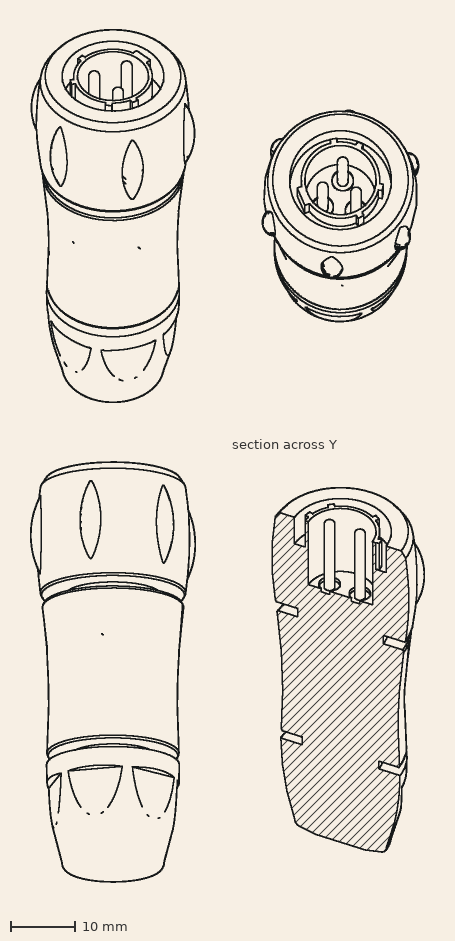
import cadquery as cq
import math

NUT_FACE_Z = 0.6
NUT_ROUND_Z = 1.85
NUT_TOP_Z = 17.5
BODY_BOTTOM_Z = 19.0
BODY_WAIST_Z = 27.35
BODY_TOP_Z = 43.35
RING_BOTTOM_Z = 44.95
RING_TOP_Z = 63.4
TOTAL_HEIGHT = 64.2
BEVEL_HEIGHT = 0.4
BEVEL_WIDTH = 0.2

NUT_END_RADIUS = 4.3
NUT_FACE_RADIUS = 6.8
NUT_ROUND_RADIUS = 7.95
NUT_TOP_RADIUS = 10.35
FLAT_DISTANCE = 9.25
FLAT_TOP_Z = 14.4
FLAT_LEDGE_RISE = 0.25
LOWER_NECK_RADIUS = 6.7

BODY_WAIST_RADIUS = 10.0
BODY_TOP_RADIUS = 11.0
UPPER_NECK_RADIUS = 7.45
DIMPLE_Z = 31.6
DIMPLE_HEIGHT = 9.75
DIMPLE_DEPTH = 0.25
DIMPLE_RIM_ROUND = 2.25

RING_EDGE_RADIUS = 11.3
RING_MIDDLE_RADIUS = 23.8 / 2
RING_FACE_RADIUS = 10.5
RING_CHAMFER_HEIGHT = 1.2
BUMP_Z = 53.9
BUMP_AXIS_RADIUS = 11.3
BUMP_TIP_RADIUS = 26.1 / 2
BUMP_HALF_LENGTH = 6.8

SLEEVE_HEIGHT = 5.4
SOCKET_DEPTH = 12.85
SOCKET_RADIUS = 7.9
SLEEVE_OUTER_RADIUS = 6.1
SLEEVE_INNER_RADIUS = 5.5
KEY_RADIUS = 6.7
WIDE_KEY_WIDTH = 3.0
WIDE_KEY_ANGLE = 90.0
NARROW_KEY_WIDTH = 1.0
NARROW_KEY_ANGLES = (185.0, 236.5, 309.0, 346.0)
PIN_COUNT = 3
PIN_CIRCLE_RADIUS = 3.0
PIN_RADIUS = 0.85
PIN_TIP_ROUND = 0.6
SHORT_PIN_TOP_Z = 63.35
PIN_RECESS_RADIUS = 1.7
PIN_RECESS_DEPTH = 0.65

GRIP_COUNT = 6
GRIP_STEP = 360.0 / GRIP_COUNT
CUT_MARGIN = 1.3

SOCKET_FLOOR_Z = RING_TOP_Z - SOCKET_DEPTH
GAP_FLOOR_Z = RING_TOP_Z - SLEEVE_HEIGHT
AXIS_START = (0, 0, 0)
AXIS_END = (0, 0, 1)


def disc(radius, bottom_z, top_z):
    return cq.Workplane("XY").workplane(offset=bottom_z).circle(radius).extrude(top_z - bottom_z)


def arc_radius_at(z, tangent_z, tangent_radius, through_z, through_radius):
    """Radius at height z of an arc that is vertical at tangent_z and passes a second point."""
    rise = through_z - tangent_z
    run = through_radius - tangent_radius
    curve_radius = (rise**2 + run**2) / (2 * abs(run))
    bulge = curve_radius - math.sqrt(curve_radius**2 - (z - tangent_z) ** 2)
    return tangent_radius + math.copysign(bulge, run)


def around_axis(shape, first_angle):
    """Copies of a shape made on the +X side, evenly spaced around the axis."""
    copies = cq.Workplane("XY")
    for i in range(GRIP_COUNT):
        copies = copies.add(shape.rotate(AXIS_START, AXIS_END, first_angle + i * GRIP_STEP))
    return copies.combine()


def clamping_nut():
    middle_z = (NUT_ROUND_Z + NUT_TOP_Z) / 2
    middle_radius = arc_radius_at(middle_z, NUT_TOP_Z, NUT_TOP_RADIUS, NUT_ROUND_Z, NUT_ROUND_RADIUS)
    round_middle = (
        NUT_FACE_RADIUS + (NUT_ROUND_RADIUS - NUT_FACE_RADIUS) * math.sin(math.pi / 4),
        NUT_ROUND_Z - (NUT_ROUND_Z - NUT_FACE_Z) * math.cos(math.pi / 4),
    )
    nut = (
        cq.Workplane("XZ")
        .lineTo(NUT_END_RADIUS, 0)
        .lineTo(NUT_FACE_RADIUS, NUT_FACE_Z)
        .threePointArc(round_middle, (NUT_ROUND_RADIUS, NUT_ROUND_Z))
        .threePointArc((middle_radius, middle_z), (NUT_TOP_RADIUS, NUT_TOP_Z))
        .lineTo(0, NUT_TOP_Z)
        .close()
        .revolve()
    )
    outside = NUT_TOP_RADIUS + CUT_MARGIN
    ledge_slope = FLAT_LEDGE_RISE / (NUT_TOP_RADIUS - FLAT_DISTANCE)
    flat_cutter = (
        cq.Workplane("XZ")
        .moveTo(FLAT_DISTANCE, 0)
        .lineTo(outside, 0)
        .lineTo(outside, FLAT_TOP_Z + ledge_slope * (outside - FLAT_DISTANCE))
        .lineTo(FLAT_DISTANCE, FLAT_TOP_Z)
        .close()
        .extrude(NUT_TOP_RADIUS / 2, both=True)
    )
    return nut.cut(around_axis(flat_cutter, GRIP_STEP / 2))


def body_radius(z):
    return arc_radius_at(z, BODY_WAIST_Z, BODY_WAIST_RADIUS, BODY_TOP_Z - BEVEL_HEIGHT, BODY_TOP_RADIUS)


def dimple_cutter():
    """Hollow arc swept straight sideways, so it meets the round body in an oval."""
    low_z = DIMPLE_Z - DIMPLE_HEIGHT / 2
    high_z = DIMPLE_Z + DIMPLE_HEIGHT / 2
    floor = (body_radius(DIMPLE_Z) - DIMPLE_DEPTH, DIMPLE_Z)
    return (
        cq.Workplane("XZ")
        .moveTo(body_radius(low_z), low_z)
        .threePointArc(floor, (body_radius(high_z), high_z))
        .lineTo(BODY_TOP_RADIUS + CUT_MARGIN, high_z)
        .lineTo(BODY_TOP_RADIUS + CUT_MARGIN, low_z)
        .close()
        .extrude(BODY_WAIST_RADIUS / 2, both=True)
    )


def grip_body():
    side_bottom_z = BODY_BOTTOM_Z + BEVEL_HEIGHT
    side_top_z = BODY_TOP_Z - BEVEL_HEIGHT
    bottom_radius = body_radius(side_bottom_z)
    body = (
        cq.Workplane("XZ")
        .moveTo(0, BODY_BOTTOM_Z)
        .lineTo(bottom_radius - BEVEL_WIDTH, BODY_BOTTOM_Z)
        .lineTo(bottom_radius, side_bottom_z)
        .threePointArc((BODY_WAIST_RADIUS, BODY_WAIST_Z), (BODY_TOP_RADIUS, side_top_z))
        .lineTo(BODY_TOP_RADIUS - BEVEL_WIDTH, BODY_TOP_Z)
        .lineTo(0, BODY_TOP_Z)
        .close()
        .revolve()
    )
    dimpled = body.cut(around_axis(dimple_cutter(), GRIP_STEP / 2))
    reach = BODY_TOP_RADIUS + CUT_MARGIN
    rims = cq.selectors.BoxSelector(
        (-reach, -reach, DIMPLE_Z - DIMPLE_HEIGHT),
        (reach, reach, DIMPLE_Z + DIMPLE_HEIGHT),
        boundingbox=True,
    )
    return dimpled.edges(rims).fillet(DIMPLE_RIM_ROUND)


def ring_bump():
    """Pointed spindle standing upright, half sunk in the ring."""
    return (
        cq.Workplane("XZ", origin=(BUMP_AXIS_RADIUS, 0, BUMP_Z))
        .moveTo(0, -BUMP_HALF_LENGTH)
        .threePointArc((BUMP_TIP_RADIUS - BUMP_AXIS_RADIUS, 0), (0, BUMP_HALF_LENGTH))
        .close()
        .revolve(360, (0, 0, 0), (0, 1, 0))
    )


def coupling_ring():
    side_bottom_z = RING_BOTTOM_Z + BEVEL_HEIGHT
    side_top_z = RING_TOP_Z - RING_CHAMFER_HEIGHT
    ring = (
        cq.Workplane("XZ")
        .moveTo(0, RING_BOTTOM_Z)
        .lineTo(RING_EDGE_RADIUS - BEVEL_WIDTH, RING_BOTTOM_Z)
        .lineTo(RING_EDGE_RADIUS, side_bottom_z)
        .threePointArc(
            (RING_MIDDLE_RADIUS, (side_bottom_z + side_top_z) / 2),
            (RING_EDGE_RADIUS, side_top_z),
        )
        .lineTo(RING_FACE_RADIUS, RING_TOP_Z)
        .lineTo(0, RING_TOP_Z)
        .close()
        .revolve()
    )
    bumped = ring.union(around_axis(ring_bump(), GRIP_STEP / 2))
    return bumped.cut(disc(SOCKET_RADIUS, GAP_FLOOR_Z, RING_TOP_Z))


def sleeve_key(width, angle):
    return (
        cq.Workplane("XY", origin=(0, 0, GAP_FLOOR_Z))
        .rect(KEY_RADIUS, width)
        .extrude(SLEEVE_HEIGHT)
        .translate((KEY_RADIUS / 2, 0, 0))
        .rotate(AXIS_START, AXIS_END, angle)
    )


def keyed_sleeve():
    sleeve = disc(SLEEVE_OUTER_RADIUS, GAP_FLOOR_Z, RING_TOP_Z)
    sleeve = sleeve.union(sleeve_key(WIDE_KEY_WIDTH, WIDE_KEY_ANGLE))
    for angle in NARROW_KEY_ANGLES:
        sleeve = sleeve.union(sleeve_key(NARROW_KEY_WIDTH, angle))
    return sleeve


def add_pins(part):
    """Round-tipped pins in shallow recesses; the pin on the +Y side is the longest."""
    recess_z = SOCKET_FLOOR_Z - PIN_RECESS_DEPTH
    for i in range(PIN_COUNT):
        angle = math.radians(WIDE_KEY_ANGLE + i * 360.0 / PIN_COUNT)
        place = (PIN_CIRCLE_RADIUS * math.cos(angle), PIN_CIRCLE_RADIUS * math.sin(angle), 0)
        top_z = TOTAL_HEIGHT if i == 0 else SHORT_PIN_TOP_Z
        pin = disc(PIN_RADIUS, recess_z, top_z).faces(">Z").edges().fillet(PIN_TIP_ROUND)
        part = part.cut(disc(PIN_RECESS_RADIUS, recess_z, SOCKET_FLOOR_Z).translate(place))
        part = part.union(pin.translate(place))
    return part


lower_neck = disc(LOWER_NECK_RADIUS, NUT_TOP_Z, BODY_BOTTOM_Z)
upper_neck = disc(UPPER_NECK_RADIUS, BODY_TOP_Z, RING_BOTTOM_Z)

connector = clamping_nut().union(lower_neck).union(grip_body()).union(upper_neck)
connector = connector.union(coupling_ring()).union(keyed_sleeve())
connector = connector.cut(disc(SLEEVE_INNER_RADIUS, SOCKET_FLOOR_Z, RING_TOP_Z))
result = add_pins(connector)